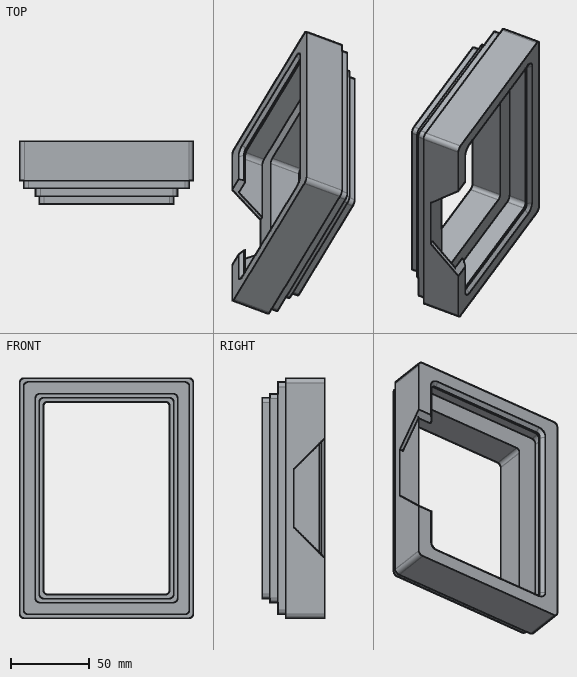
import cadquery as cq

WIDTH = 110.6
HEIGHT = 152.89
DEPTH = 40.0
REAR_Y = DEPTH / 2

BODY_DEPTH = 25.0
STEP_DEPTH = 5.0
STEP_INSETS = (2.5, 10.0, 12.5)
CORNER_RADIUS = 3.0

OPENING_INSET = 15.25
OPENING_RADIUS = 2.5
FRONT_PLATE = 5.0
SIDE_WALL = 2.5
REAR_LIP = 3.6
CHAMBER_FRONT = BODY_DEPTH - FRONT_PLATE

REAR_OPENING_INSET = 12.1
REAR_OPENING_RADIUS = 3.0
REAR_FLARE = 2.5

SLOT_REAR_HEIGHT = HEIGHT / 2
SLOT_FRONT_HEIGHT = SLOT_REAR_HEIGHT - 2 * CHAMBER_FRONT


def frame_block(inset, start, end, radius=CORNER_RADIUS):
    """Rounded rectangular block between two distances from the rear face."""
    return (
        cq.Workplane("XZ", origin=(0, REAR_Y - start, 0))
        .rect(WIDTH - 2 * inset, HEIGHT - 2 * inset)
        .extrude(end - start)
        .edges("|Y")
        .fillet(radius)
    )


def stepped_body():
    """Rear box with three smaller steps in front of it."""
    body = frame_block(0, 0, BODY_DEPTH)
    for index, inset in enumerate(STEP_INSETS):
        start = BODY_DEPTH + index * STEP_DEPTH
        body = body.union(frame_block(inset, start, start + STEP_DEPTH))
    return body


def rear_outline(growth):
    """Rear opening outline, enlarged by growth on every side."""
    inset = REAR_OPENING_INSET - growth
    return (
        cq.Sketch()
        .rect(WIDTH - 2 * inset, HEIGHT - 2 * inset)
        .vertices()
        .fillet(REAR_OPENING_RADIUS + growth)
    )


def interior():
    """Front opening, chamber behind it and the flared opening in the rear lip."""
    front_opening = frame_block(OPENING_INSET, CHAMBER_FRONT, DEPTH, OPENING_RADIUS)
    chamber = frame_block(SIDE_WALL, REAR_LIP, CHAMBER_FRONT)
    throat = frame_block(REAR_OPENING_INSET, 0, REAR_LIP, REAR_OPENING_RADIUS)
    flare_depth = cq.Location(cq.Vector(0, 0, REAR_FLARE))
    flare = (
        cq.Workplane("XZ", origin=(0, REAR_Y, 0))
        .placeSketch(rear_outline(REAR_FLARE), rear_outline(0).moved(flare_depth))
        .loft()
    )
    return front_opening.union(chamber).union(throat).union(flare)


def side_slot():
    """Trapezoid in the YZ plane, cut from the middle out through the +X wall."""
    front_y = REAR_Y - CHAMBER_FRONT
    return (
        cq.Workplane("YZ")
        .moveTo(REAR_Y, -SLOT_REAR_HEIGHT / 2)
        .lineTo(front_y, -SLOT_FRONT_HEIGHT / 2)
        .lineTo(front_y, SLOT_FRONT_HEIGHT / 2)
        .lineTo(REAR_Y, SLOT_REAR_HEIGHT / 2)
        .close()
        .extrude(WIDTH / 2)
    )


result = stepped_body().cut(interior()).cut(side_slot())